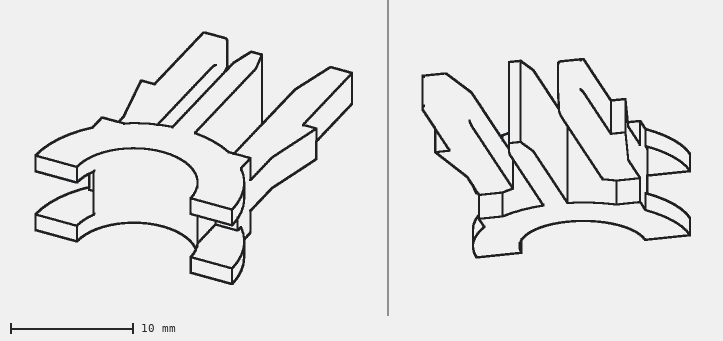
import cadquery as cq

height = 7.2
ring_outer_radius = 9.0
ring_inner_radius = 5.2

arm_outer_x = 6.79
arm_inner_x = 3.77
shoulder_top_y = 7.62

root_overlap = 1.3

arm_height = 2.96
arm_top_y = 26.0
arm_tip_x = 4.68
arm_taper_y = 22.15
barb_x = 8.0
barb_top_y = 17.0
barb_bottom_y = 11.45
tip_fillet = 0.25

pin_half_width = 1.01
pin_tip_half_width = 0.5
pin_top_y = 22.0
pin_taper_y = 19.86

slot_height = 4.15
slot_outer_y = 5.3
slot_inner_x = 4.75


def centred_plane(thickness):
    """Workplane at the underside of a body centred on Z = 0."""
    return cq.Workplane("XY", origin=(0, 0, -thickness / 2))


def prism(points, thickness):
    """Closed outline extruded so that it is centred on Z = 0."""
    return centred_plane(thickness).polyline(points).close().extrude(thickness)


def make_ring_and_shoulders():
    disc = centred_plane(height).circle(ring_outer_radius).extrude(height)
    shoulders = prism(
        [(-arm_outer_x, 0), (arm_outer_x, 0), (arm_outer_x, shoulder_top_y), (-arm_outer_x, shoulder_top_y)],
        height,
    )
    bore = centred_plane(height).circle(ring_inner_radius).extrude(height)
    front_half = cq.Workplane("XY").box(
        2 * ring_outer_radius, ring_outer_radius, height, centered=(True, False, True)
    )
    return disc.union(shoulders).cut(bore).intersect(front_half)


def make_pin():
    return prism(
        [
            (-pin_half_width, ring_outer_radius - root_overlap),
            (pin_half_width, ring_outer_radius - root_overlap),
            (pin_half_width, pin_taper_y),
            (pin_tip_half_width, pin_top_y),
            (-pin_tip_half_width, pin_top_y),
            (-pin_half_width, pin_taper_y),
        ],
        height,
    )


def make_right_arm():
    arm = prism(
        [
            (arm_inner_x, shoulder_top_y - root_overlap),
            (arm_outer_x, shoulder_top_y - root_overlap),
            (arm_outer_x, barb_bottom_y),
            (barb_x, barb_top_y),
            (arm_outer_x, barb_top_y),
            (arm_outer_x, arm_top_y),
            (arm_tip_x, arm_top_y),
            (arm_inner_x, arm_taper_y),
        ],
        arm_height,
    )
    end_edges = arm.faces(">Y").edges()
    taper_middle = ((arm_inner_x + arm_tip_x) / 2, (arm_taper_y + arm_top_y) / 2)
    upper_taper_edge = arm.edges(cq.NearestToPointSelector((*taper_middle, arm_height / 2)))
    lower_taper_edge = arm.edges(cq.NearestToPointSelector((*taper_middle, -arm_height / 2)))
    return end_edges.add(upper_taper_edge).add(lower_taper_edge).fillet(tip_fillet)


def make_right_slot():
    return prism(
        [
            (slot_inner_x, 0),
            (ring_outer_radius, 0),
            (ring_outer_radius, shoulder_top_y),
            (arm_outer_x, shoulder_top_y),
            (arm_outer_x, slot_outer_y),
            (slot_inner_x, slot_outer_y),
        ],
        slot_height,
    )


right_slot = make_right_slot()
right_arm = make_right_arm()
result = make_ring_and_shoulders().cut(right_slot).cut(right_slot.mirror("YZ"))
result = result.union(make_pin()).union(right_arm).union(right_arm.mirror("YZ"))